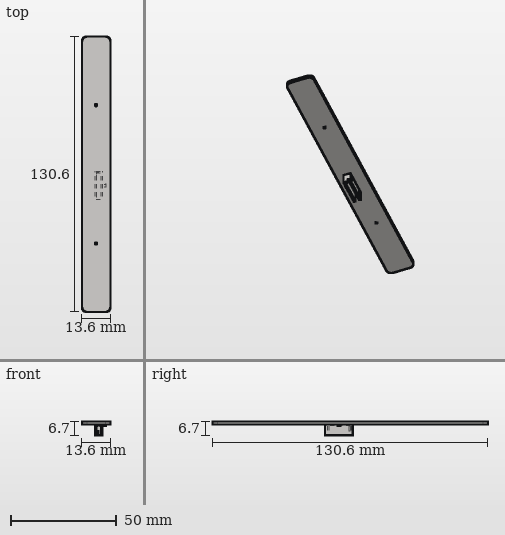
import cadquery as cq

BOARD_WIDTH = 13.6
BOARD_LENGTH = 130.6
BOARD_THICKNESS = 1.6
BOARD_CORNER_RADIUS = 2.5
BOARD_HOLE_DIAMETER = 0.9
BOARD_HOLE_X = -0.1
BOARD_HOLE_Y = 32.8

CONNECTOR_WIDTH = 3.5
CONNECTOR_LENGTH = 13.3
CONNECTOR_HEIGHT = 5.1
CONNECTOR_CENTER_X = 1.2
CONNECTOR_CENTER_Y = -5.4
WALL = 0.8
ROOF = 0.4
CHANNEL_CORNER_RADIUS = 0.4

SLIT_WIDTH = 0.77
SLIT_SPACING = 10.2
SLIT_BOTTOM = 2.0

NOTCH_WIDTH = 0.8
NOTCH_STEP_HEIGHTS = [2.0, 1.2, 0.8]

LUG_LENGTH = 1.6
LUG_THICKNESS = 0.8
LUG_ROOT_WIDTH = 0.5
LUG_TIP_WIDTH = 1.5

WALL_MINUS_X = CONNECTOR_CENTER_X - CONNECTOR_WIDTH / 2
WALL_PLUS_X = CONNECTOR_CENTER_X + CONNECTOR_WIDTH / 2
END_MINUS_Y = CONNECTOR_CENTER_Y - CONNECTOR_LENGTH / 2
END_PLUS_Y = CONNECTOR_CENTER_Y + CONNECTOR_LENGTH / 2


def box_from_corner(corner, size):
    """Box with its lowest X, Y, Z corner at the given point."""
    return cq.Workplane("XY").box(*size, centered=False).translate(corner)


def make_board():
    """Flat board with rounded corners and two small through holes."""
    return (
        cq.Workplane("XY", origin=(0, 0, CONNECTOR_HEIGHT))
        .rect(BOARD_WIDTH, BOARD_LENGTH)
        .extrude(BOARD_THICKNESS)
        .edges("|Z")
        .fillet(BOARD_CORNER_RADIUS)
        .faces(">Z")
        .workplane(origin=(0, 0, 0))
        .pushPoints([(BOARD_HOLE_X, BOARD_HOLE_Y), (BOARD_HOLE_X, -BOARD_HOLE_Y)])
        .hole(BOARD_HOLE_DIAMETER)
    )


def make_channel():
    """Channel open at the bottom and the -Y end, and closed by the +Y end wall."""
    return (
        box_from_corner(
            (WALL_MINUS_X + WALL, END_MINUS_Y, 0),
            (CONNECTOR_WIDTH - 2 * WALL, CONNECTOR_LENGTH - WALL, CONNECTOR_HEIGHT - ROOF),
        )
        .edges("|Y and >Z")
        .fillet(CHANNEL_CORNER_RADIUS)
    )


def make_slit(center_y):
    """Slit through the -X wall, from its bottom edge up to the board."""
    return box_from_corner(
        (WALL_MINUS_X, center_y - SLIT_WIDTH / 2, SLIT_BOTTOM),
        (WALL, SLIT_WIDTH, CONNECTOR_HEIGHT - SLIT_BOTTOM),
    )


def make_notch_step(depth, height):
    """One step of the end wall notch, cut from the channel side."""
    return box_from_corner(
        (WALL_MINUS_X + WALL, END_PLUS_Y - WALL, 0),
        (NOTCH_WIDTH, depth, height),
    )


def make_lug():
    """Flat lug against the board, on the +X wall at mid length."""
    tip_x = WALL_PLUS_X + LUG_LENGTH
    return (
        cq.Workplane("XY", origin=(0, CONNECTOR_CENTER_Y, CONNECTOR_HEIGHT))
        .polyline(
            [
                (WALL_PLUS_X, -LUG_ROOT_WIDTH / 2),
                (tip_x, -LUG_TIP_WIDTH / 2),
                (tip_x, LUG_TIP_WIDTH / 2),
                (WALL_PLUS_X, LUG_ROOT_WIDTH / 2),
            ]
        )
        .close()
        .extrude(-LUG_THICKNESS)
    )


def make_connector():
    """Connector shell with its channel, slits, notch and lug."""
    shell = box_from_corner(
        (WALL_MINUS_X, END_MINUS_Y, 0),
        (CONNECTOR_WIDTH, CONNECTOR_LENGTH, CONNECTOR_HEIGHT),
    ).cut(make_channel())
    for side in (-1, 1):
        shell = shell.cut(make_slit(CONNECTOR_CENTER_Y + side * SLIT_SPACING / 2))
    step_count = len(NOTCH_STEP_HEIGHTS)
    for number, height in enumerate(NOTCH_STEP_HEIGHTS, start=1):
        shell = shell.cut(make_notch_step(WALL * number / step_count, height))
    return shell.union(make_lug())


board = make_board()
connector = make_connector()
result = cq.Compound.makeCompound([board.solids().val(), connector.solids().val()])